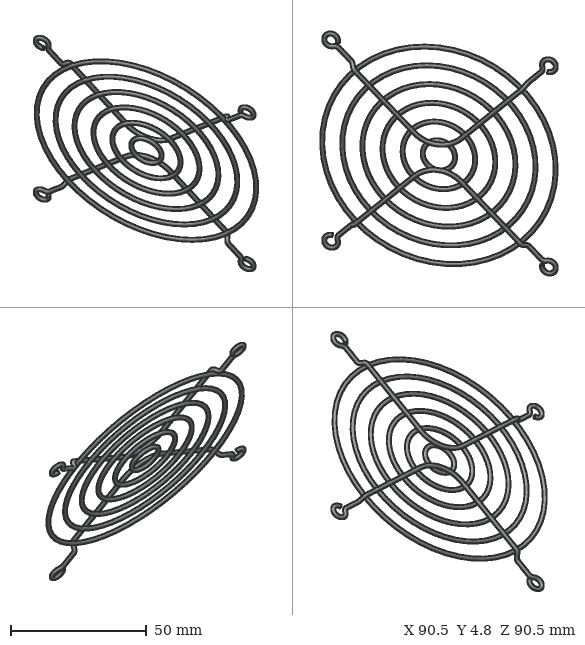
import cadquery as cq
import math

OUTER_DIAMETER = 90.5
GUARD_DEPTH = 4.8
INNER_RING_RADIUS = 6.15
RING_COUNT = 6
HUB_BEND_RADIUS = 12.7
STEP_ANGLE = 60.0
EYE_OFFSET = 41.4
EYE_RADIUS = 2.6
EYE_NECK_RADIUS = 2.0
EYE_GAP_ANGLE = 33.0
ARM_ANGLES = (45.0, 135.0)

WIRE_DIAMETER = GUARD_DEPTH / 3
WIRE_RADIUS = WIRE_DIAMETER / 2
OUTER_RING_RADIUS = OUTER_DIAMETER / 2 - WIRE_RADIUS
RING_PITCH = (OUTER_RING_RADIUS - INNER_RING_RADIUS) / (RING_COUNT - 1)
SPOKE_Y = WIRE_DIAMETER
EYE_Y = -WIRE_DIAMETER
STEP_BEND_RADIUS = WIRE_DIAMETER


def circle_point(center, radius, angle):
    """Point on a circle in the XZ plane, angle in degrees from +X towards +Z."""
    a = math.radians(angle)
    return center + cq.Vector(radius * math.cos(a), 0, radius * math.sin(a))


def sweep_round(edges, start, direction):
    """Sweep the round wire section along a chain of tangent edges."""
    section = cq.Workplane(cq.Plane(origin=start, normal=direction)).circle(WIRE_RADIUS)
    return section.sweep(cq.Wire.assembleEdges(edges))


def rotate_in_guard_plane(body, angle):
    """Turn a body about the guard axis, from +X towards +Z."""
    return body.rotate((0, 0, 0), (0, 1, 0), -angle)


def make_ring(radius):
    return cq.Solid.makeTorus(radius, WIRE_RADIUS, cq.Vector(0, 0, 0), cq.Vector(0, 1, 0))


def step_edges():
    """Two opposite bends and a sloping line, from the spoke plane to the eye plane."""
    theta = math.radians(STEP_ANGLE)
    bend_run = STEP_BEND_RADIUS * math.sin(theta)
    bend_drop = STEP_BEND_RADIUS * (1 - math.cos(theta))
    slope_drop = SPOKE_Y - EYE_Y - 2 * bend_drop
    slope_run = slope_drop / math.tan(theta)
    forward = cq.Vector(1, 0, 0)
    slope = cq.Vector(math.cos(theta), -math.sin(theta), 0)

    step_start = cq.Vector(OUTER_RING_RADIUS, SPOKE_Y, 0)
    slope_start = step_start + cq.Vector(bend_run, -bend_drop, 0)
    slope_end = slope_start + cq.Vector(slope_run, -slope_drop, 0)
    step_end = slope_end + cq.Vector(bend_run, -bend_drop, 0)
    edges = [
        cq.Edge.makeTangentArc(step_start, forward, slope_start),
        cq.Edge.makeLine(slope_start, slope_end),
        cq.Edge.makeTangentArc(slope_end, slope, step_end),
    ]
    return edges, step_start, step_end


def eye_edges():
    """Neck bend followed by the open eye, for an arm that runs along +X."""
    eye_center = cq.Vector(EYE_OFFSET * math.sqrt(2), EYE_Y, 0)
    neck_length = math.sqrt((EYE_RADIUS + EYE_NECK_RADIUS) ** 2 - EYE_NECK_RADIUS ** 2)
    neck_start = eye_center - cq.Vector(neck_length, 0, 0)
    neck_angle = math.degrees(math.atan2(EYE_NECK_RADIUS, neck_length))

    start_angle = 180 + neck_angle
    end_angle = 360 + 180 - EYE_GAP_ANGLE
    eye_start = circle_point(eye_center, EYE_RADIUS, start_angle)
    eye_middle = circle_point(eye_center, EYE_RADIUS, (start_angle + end_angle) / 2)
    eye_end = circle_point(eye_center, EYE_RADIUS, end_angle)
    edges = [
        cq.Edge.makeTangentArc(neck_start, cq.Vector(1, 0, 0), eye_start),
        cq.Edge.makeThreePointArc(eye_start, eye_middle, eye_end),
    ]
    return edges, neck_start


def make_arm():
    """Arm along +X, from the end of the hub bend out to its eye."""
    arm_start = cq.Vector(HUB_BEND_RADIUS, SPOKE_Y, 0)
    step, step_start, step_end = step_edges()
    eye, neck_start = eye_edges()
    edges = [
        cq.Edge.makeLine(arm_start, step_start),
        *step,
        cq.Edge.makeLine(step_end, neck_start),
        *eye,
    ]
    return sweep_round(edges, arm_start, cq.Vector(1, 0, 0))


def make_hub_bend():
    """Quarter bend tangent to both arms; its ends lie one bend radius from the guard axis."""
    bend_center = cq.Vector(0, SPOKE_Y, HUB_BEND_RADIUS * math.sqrt(2))
    left_end = circle_point(bend_center, HUB_BEND_RADIUS, 225)
    bottom = circle_point(bend_center, HUB_BEND_RADIUS, 270)
    right_end = circle_point(bend_center, HUB_BEND_RADIUS, 315)
    arc = cq.Edge.makeThreePointArc(left_end, bottom, right_end)
    return sweep_round([arc], left_end, cq.Vector(1, 0, -1))


def make_spoke_wire():
    """Upper spoke wire: two arms with eyes, joined by the hub bend."""
    arm = make_arm()
    wire = make_hub_bend()
    for angle in ARM_ANGLES:
        wire = wire.union(rotate_in_guard_plane(arm, angle))
    return wire


rings = [make_ring(INNER_RING_RADIUS + i * RING_PITCH) for i in range(RING_COUNT)]

spoke_wire = make_spoke_wire()
spoke_wires = [rotate_in_guard_plane(spoke_wire, angle).solids().val() for angle in (0, 180)]

result = cq.Compound.makeCompound([*rings, *spoke_wires])